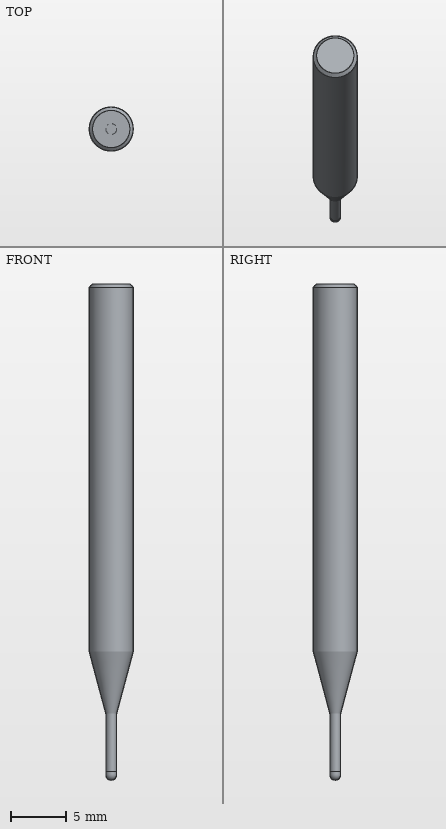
import cadquery as cq
import math

total_length = 45.0
shank_diameter = 4.0
shank_chamfer = 0.3
neck_diameter = 1.0
neck_top_z = 6.05
taper_half_angle = 15.0
head_length = 0.8

shank_radius = shank_diameter / 2
neck_radius = neck_diameter / 2
ball_radius = neck_radius
taper_length = (shank_radius - neck_radius) / math.tan(math.radians(taper_half_angle))
taper_top_z = neck_top_z + taper_length


def revolve_about_z(profile):
    """Turn a closed half profile, drawn in the XZ plane, about the Z axis."""
    return profile.revolve(360, (0, 0, 0), (0, 1, 0))


def make_shank():
    """Chamfered shank that tapers down to a slender neck."""
    profile = (
        cq.Workplane("XZ")
        .moveTo(0, head_length)
        .lineTo(neck_radius, head_length)
        .lineTo(neck_radius, neck_top_z)
        .lineTo(shank_radius, taper_top_z)
        .lineTo(shank_radius, total_length - shank_chamfer)
        .lineTo(shank_radius - shank_chamfer, total_length)
        .lineTo(0, total_length)
        .close()
    )
    return revolve_about_z(profile)


def make_ball_head():
    """Hemispherical tip with a short cylindrical land that meets the neck."""
    arc_mid_offset = ball_radius * math.sin(math.radians(45))
    profile = (
        cq.Workplane("XZ")
        .moveTo(0, 0)
        .threePointArc((arc_mid_offset, ball_radius - arc_mid_offset), (ball_radius, ball_radius))
        .lineTo(ball_radius, head_length)
        .lineTo(0, head_length)
        .close()
    )
    return revolve_about_z(profile)


shank = make_shank()
ball_head = make_ball_head()

result = cq.Compound.makeCompound([shank.val(), ball_head.val()])